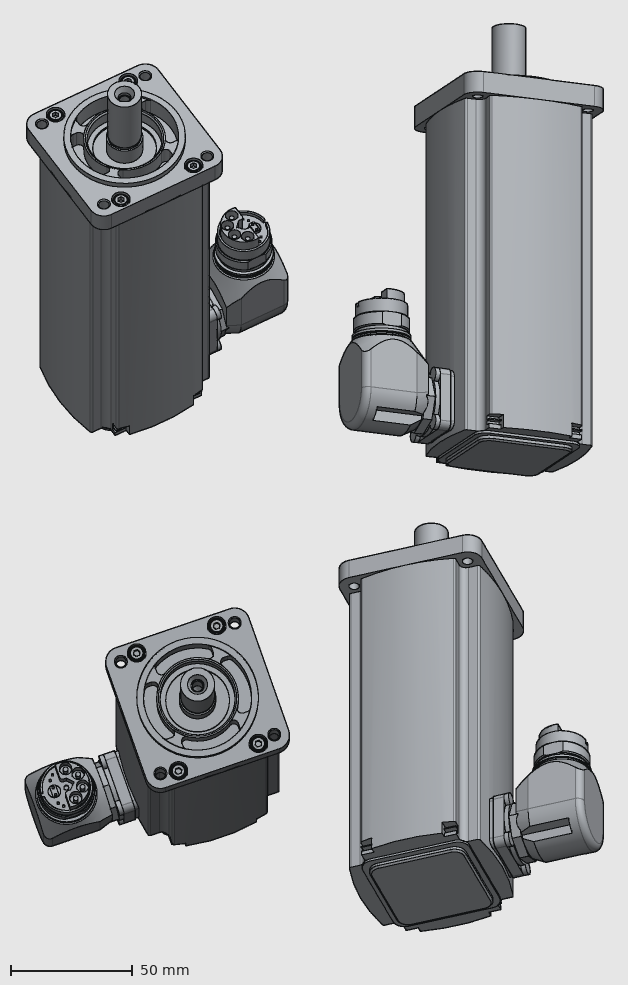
import cadquery as cq
import math


flange_width = 62.0
half_width = flange_width / 2
flange_thickness = 9.0
flange_corner_radius = 6.2
mounting_circle_diameter = 70.0
mounting_hole_diameter = 4.3
mounting_hole_rim_diameter = 5.3
pilot_diameter = 50.0
pilot_height = 2.5

recess_diameter = 44.4
recess_floor_z = 1.5
hub_outer_diameter = 33.6
hub_bore_diameter = 30.8
hub_top_z = 1.0
hub_edge_chamfer = 0.7
bore_step_z = -5.0
bore_floor_diameter = 26.2
bore_floor_z = -6.0
pocket_floor_z = -6.5
pocket_half_length = 12.3
pocket_corner_radius = 2.0

screw_x = 26.1
screw_y = 17.4
counterbore_diameter = 7.6
counterbore_depth = 4.0
screw_head_diameter = 6.6
screw_head_height = 3.6
screw_crown_diameter = 5.1
screw_crown_height = 0.2
screw_head_chamfer = 0.4
screw_socket_width = 2.5
screw_socket_depth = 2.0

shaft_diameter = 14.0
shaft_length = 30.0
collar_diameter = 15.0
collar_top_z = 2.0
shaft_neck_diameter = 13.6
shaft_neck_width = 1.2
center_chamfer_diameter = 8.2
center_chamfer_angle = 60.0
center_bore_diameter = 5.3
center_bore_depth = 4.0
center_drill_diameter = 4.3
center_drill_depth = 14.0

housing_bottom_z = -151.3
side_bulge = 2.6
side_half_chord = 20.7
side_edge_radius = 1.0
corner_fillet_radius = 3.0

cover_skirt_half_width = 23.3
cover_skirt_top_z = -149.4
cover_step_half_width = cover_skirt_half_width
cover_step_bottom_z = -152.4
cover_half_width = 20.9
cover_bottom_z = -154.5
cover_corner_radius = 5.0
cover_skirt_corner_radius = 6.0
cover_rim_chamfer = 0.8

window_inner_x = 25.0
window_inner_y = 15.4
window_top_z = -145.7
window_bottom_z = cover_skirt_top_z
window_bar_thickness = 0.5
window_bar_outer_x = 27.5
window_relief_x = 27.0

base_center_z = -136.1
base_width = 26.4
base_start_y = 29.0
base_end_y = 36.5
base_corner_radius = 3.2
base_gasket_y = 31.7
base_gasket_margin = 0.4
base_disc_diameter = 26.2
base_screw_head_diameter = 6.2
base_screw_head_end_y = 38.5
neck_sides = 8
neck_width = 23.5
neck_end_y = 42.5

elbow_width = 28.4
elbow_half_width = elbow_width / 2
elbow_outer_y = 71.0
elbow_inner_y = 41.4
elbow_top_z = -112.0
elbow_round_z = -135.9
elbow_end_radius = 3.0
elbow_top_stock = 5.0
elbow_taper_y = 47.4
elbow_taper_side = 1.8
elbow_taper_lift = 1.4
elbow_crown_top_radius = 12.7
elbow_crown_slope = 1.47
elbow_crown_height = 20.0
grip_top_z = -143.4
grip_bottom_z = -148.0
grip_start_y = 64.2
grip_inner_x = math.sqrt(elbow_half_width**2 - (elbow_round_z - grip_bottom_z) ** 2)

barrel_y = 57.1
barrel_top_z = -95.8
barrel_diameter = 21.55
barrel_bore_diameter = 19.8
barrel_key_width = 1.6
nut_diameter = 23.2
nut_flat_distance = 21.55
nut_top_z = -101.4
nut_bottom_z = -107.4
nut_chamfer = 0.5
barrel_flange_diameter = 24.3
barrel_flange_top_z = -109.1
barrel_flange_groove_z = -110.2
barrel_flange_groove_diameter = 22.9

insert_floor_z = -97.5
insert_diameter = 19.0
insert_radius = insert_diameter / 2
power_block_top_z = -91.2
power_block_edge = 1.6
power_sockets = [(6.4, -1.9), (2.8, -6.1)]
power_socket_diameter = 5.1
power_pin_diameter = 1.99
power_pin_recess = 1.5
notch_side_x = 2.6
notch_lip = 1.2
notch_mouth_x = notch_side_x + notch_lip
notch_shoulder_y = -0.9
notch_tip_y = -3.4
ground_hole_diameter = 1.99
signal_y = 5.2
signal_diameter = 5.2
signal_height = 1.2
signal_band_width = 2.6
signal_shelf_height = 0.6
signal_contact_x = 1.6
signal_contact_diameter = 0.99
side_contacts = [(5.0, 5.3), (6.9, 3.6)]
contact_depth = 1.5

OVERLAP = 0.5


def cylinder(diameter, bottom_z, top_z, x=0.0, y=0.0):
    """Upright cylinder between two heights."""
    start = cq.Workplane("XY", origin=(x, y, bottom_z))
    return start.circle(diameter / 2).extrude(top_z - bottom_z)


def square_prism(half, bottom_z, top_z):
    """Square block centred on the shaft axis."""
    return cq.Workplane("XY", origin=(0, 0, bottom_z)).rect(2 * half, 2 * half).extrude(top_z - bottom_z)


def box_between(x_range, y_range, z_range):
    """Box given by its limits along each axis."""
    size = [high - low for low, high in (x_range, y_range, z_range)]
    corner = (x_range[0], y_range[0], z_range[0])
    return cq.Workplane("XY").box(*size, centered=False).translate(corner)


def along_y(start_y, z=base_center_z):
    """Workplane facing +Y; its local x axis points along -X."""
    return cq.Workplane("XZ", origin=(0, start_y, z)).transformed(rotate=(0, 180, 0))


def mirrored_points(x, y):
    """The four points of a rectangle centred on the origin."""
    return [(sx * x, sy * y) for sx in (-1, 1) for sy in (-1, 1)]


def make_housing():
    """Four bulged sides joined by filleted inside corners."""
    height = -flange_thickness - housing_bottom_z
    edge = half_width - side_bulge
    start = cq.Workplane("XY", origin=(0, 0, housing_bottom_z))
    housing = start.rect(2 * side_half_chord, 2 * side_half_chord).extrude(height)
    for turn in range(4):
        side = (
            start.moveTo(0, -side_half_chord)
            .lineTo(edge, -side_half_chord)
            .threePointArc((half_width, 0), (edge, side_half_chord))
            .lineTo(0, side_half_chord)
            .close()
            .extrude(height)
            .edges("|Z")
            .edges(">X")
            .fillet(side_edge_radius)
        )
        housing = housing.union(side.rotate((0, 0, 0), (0, 0, 1), 90 * turn))
    fillet_center = side_half_chord + corner_fillet_radius
    filler = (
        start.moveTo(side_half_chord, side_half_chord)
        .lineTo(fillet_center, side_half_chord)
        .radiusArc((side_half_chord, fillet_center), corner_fillet_radius)
        .close()
        .extrude(height)
    )
    for turn in range(4):
        housing = housing.union(filler.rotate((0, 0, 0), (0, 0, 1), 90 * turn))
    return housing


def make_rear_cover():
    """Plate closing the rear of the housing: skirt, step and raised centre."""
    skirt = square_prism(cover_skirt_half_width, housing_bottom_z, cover_skirt_top_z)
    skirt = skirt.edges("|Z").fillet(cover_skirt_corner_radius)
    step = square_prism(cover_step_half_width, cover_step_bottom_z, housing_bottom_z)
    plate = square_prism(cover_half_width, cover_bottom_z, cover_step_bottom_z)
    plate = plate.edges("|Z").fillet(cover_corner_radius).faces("<Z").edges().chamfer(cover_rim_chamfer)
    return skirt.union(step.edges("|Z").fillet(cover_corner_radius)).union(plate)


def cut_latch_windows(body):
    """Barred windows near the rear of both X sides, with the side cut back below them."""
    y_range = (window_inner_y, side_half_chord)
    window = box_between((window_inner_x, half_width), y_range, (window_bottom_z, window_top_z))
    middle_z = (window_bottom_z + window_top_z) / 2
    half_bar = window_bar_thickness / 2
    bar_z_range = (middle_z - half_bar, middle_z + half_bar)
    bar = box_between((window_inner_x, window_bar_outer_x), y_range, bar_z_range)
    relief = box_between((window_relief_x, half_width), y_range, (housing_bottom_z, window_bottom_z))
    opening = window.cut(bar).union(relief)
    for x_side in (opening, opening.mirror("YZ")):
        body = body.cut(x_side).cut(x_side.mirror("XZ"))
    return body


def make_flange():
    """Square flange with its pilot, pilot recess, bearing bore and bolt holes."""
    flange = square_prism(half_width, -flange_thickness, 0).edges("|Z").fillet(flange_corner_radius)
    flange = flange.union(cylinder(pilot_diameter, -OVERLAP, pilot_height))
    flange = flange.cut(cylinder(recess_diameter, recess_floor_z, pilot_height))
    flange = flange.cut(cylinder(hub_outer_diameter, hub_top_z, pilot_height))
    flange = flange.cut(cylinder(hub_bore_diameter, bore_step_z, pilot_height))
    hub_lead_in = cq.Solid.makeCone(
        hub_bore_diameter / 2,
        hub_bore_diameter / 2 + hub_edge_chamfer,
        hub_edge_chamfer,
        cq.Vector(0, 0, hub_top_z - hub_edge_chamfer),
    )
    flange = flange.cut(cq.Workplane(hub_lead_in))
    flange = flange.cut(cylinder(bore_floor_diameter, bore_floor_z, pilot_height))

    annulus = cylinder(recess_diameter, pocket_floor_z, pilot_height)
    annulus = annulus.cut(cylinder(hub_outer_diameter, pocket_floor_z, pilot_height))
    for turn in range(4):
        sector = box_between(
            (-half_width, 0),
            (-pocket_half_length, pocket_half_length),
            (pocket_floor_z, pilot_height),
        )
        pocket = annulus.intersect(sector).edges("|Z").fillet(pocket_corner_radius)
        flange = flange.cut(pocket.rotate((0, 0, 0), (0, 0, 1), 90 * turn))

    hole_offset = mounting_circle_diameter / 2 * math.sqrt(0.5)
    rim_depth = (mounting_hole_rim_diameter - mounting_hole_diameter) / 2
    for x, y in mirrored_points(hole_offset, hole_offset):
        flange = flange.cut(cylinder(mounting_hole_diameter, -flange_thickness, 0, x, y))
        rim = cq.Solid.makeCone(
            mounting_hole_diameter / 2,
            mounting_hole_rim_diameter / 2,
            rim_depth,
            cq.Vector(x, y, -rim_depth),
        )
        flange = flange.cut(cq.Workplane(rim))
    return flange


def add_flange_screws(body):
    """Socket screws sunk in counterbores beside the mounting holes."""
    seat_z = -counterbore_depth
    head_top_z = seat_z + screw_head_height
    crown_top_z = head_top_z + screw_crown_height
    for x, y in mirrored_points(screw_x, screw_y):
        body = body.cut(cylinder(counterbore_diameter, seat_z, 0, x, y))
        head = cylinder(screw_head_diameter, seat_z - OVERLAP, head_top_z, x, y)
        head = head.faces(">Z").edges().chamfer(screw_head_chamfer)
        head = head.union(cylinder(screw_crown_diameter, head_top_z - OVERLAP, crown_top_z, x, y))
        socket = (
            cq.Workplane("XY", origin=(x, y, crown_top_z))
            .polygon(6, screw_socket_width, circumscribed=True)
            .extrude(-screw_socket_depth)
        )
        body = body.union(head.cut(socket))
    return body


def make_shaft():
    """Shaft with a collar, a relief neck above it and a stepped centre hole."""
    shaft = cylinder(collar_diameter, bore_floor_z - OVERLAP, collar_top_z)
    neck_top_z = collar_top_z + shaft_neck_width
    shaft = shaft.union(cylinder(shaft_neck_diameter, collar_top_z - OVERLAP, neck_top_z))
    shaft = shaft.union(cylinder(shaft_diameter, neck_top_z, shaft_length))

    bore_radius = center_bore_diameter / 2
    drill_radius = center_drill_diameter / 2
    chamfer_radius = center_chamfer_diameter / 2
    chamfer_depth = (chamfer_radius - bore_radius) / math.tan(math.radians(center_chamfer_angle / 2))
    drill_end_z = shaft_length - center_drill_depth
    center_hole = (
        cq.Workplane("XZ")
        .moveTo(0, shaft_length)
        .lineTo(chamfer_radius, shaft_length)
        .lineTo(bore_radius, shaft_length - chamfer_depth)
        .lineTo(bore_radius, shaft_length - center_bore_depth)
        .lineTo(drill_radius, shaft_length - center_bore_depth)
        .lineTo(drill_radius, drill_end_z)
        .lineTo(0, drill_end_z - drill_radius)
        .close()
        .revolve(360, (0, 0, 0), (0, 1, 0))
    )
    return shaft.cut(center_hole)


def make_connector_base():
    """Square foot with four corner screw heads, a round disc and an octagonal neck."""
    def foot(width, start_y, end_y):
        block = along_y(start_y).rect(width, width).extrude(end_y - start_y)
        return block.edges("|Y").fillet(base_corner_radius)

    base = foot(base_width - 2 * base_gasket_margin, base_start_y, base_gasket_y)
    base = base.union(foot(base_width, base_gasket_y, base_end_y))
    head_height = base_screw_head_end_y - base_end_y
    head_offset = (base_width - base_screw_head_diameter) / 2
    heads = (
        along_y(base_end_y)
        .pushPoints(mirrored_points(head_offset, head_offset))
        .circle(base_screw_head_diameter / 2)
        .extrude(head_height)
    )
    disc = along_y(base_end_y).circle(base_disc_diameter / 2).extrude(head_height)
    neck = (
        along_y(base_end_y)
        .transformed(rotate=(0, 0, 180 / neck_sides))
        .polygon(neck_sides, neck_width, circumscribed=True)
        .extrude(neck_end_y - base_end_y)
    )
    return base.union(disc).union(heads).union(neck)


def elbow_section(sketch, section_half_width, round_z):
    """Straight-sided section with a full round underneath."""
    top_z = elbow_top_z + elbow_top_stock
    return (
        sketch.moveTo(-section_half_width, top_z)
        .lineTo(-section_half_width, round_z)
        .threePointArc((0, round_z - section_half_width), (section_half_width, round_z))
        .lineTo(section_half_width, top_z)
        .close()
    )


def make_elbow():
    """Elbow housing: round underneath, coned on top, tapered toward the neck."""
    bottom_z = elbow_round_z - elbow_half_width
    elbow = elbow_section(along_y(elbow_taper_y, 0), elbow_half_width, elbow_round_z)
    elbow = elbow.extrude(elbow_outer_y - elbow_taper_y)
    elbow = elbow.faces(">Y").edges().fillet(elbow_end_radius)
    taper_half_width = elbow_half_width - elbow_taper_side
    taper = elbow_section(along_y(elbow_inner_y, 0), taper_half_width, elbow_round_z + elbow_taper_lift)
    taper = elbow_section(
        taper.workplane(offset=elbow_taper_y - elbow_inner_y), elbow_half_width, elbow_round_z
    ).loft(ruled=True)
    crown_bottom_radius = elbow_crown_top_radius + elbow_crown_height / elbow_crown_slope
    crown = (
        cq.Workplane("XZ", origin=(0, barrel_y, 0))
        .moveTo(0, elbow_top_z)
        .lineTo(elbow_crown_top_radius, elbow_top_z)
        .lineTo(crown_bottom_radius, elbow_top_z - elbow_crown_height)
        .lineTo(crown_bottom_radius, bottom_z)
        .lineTo(0, bottom_z)
        .close()
        .revolve(360, (0, 0, 0), (0, 1, 0))
    )
    elbow = elbow.union(taper).intersect(crown)
    for x_range in ((-elbow_half_width, -grip_inner_x), (grip_inner_x, elbow_half_width)):
        elbow = elbow.cut(box_between(x_range, (elbow_inner_y, grip_start_y), (grip_bottom_z, grip_top_z)))
    return elbow


def make_barrel():
    """Round mating barrel with its flange, flatted nut and open socket."""
    groove_height = barrel_flange_top_z - barrel_flange_groove_z
    barrel = cylinder(barrel_diameter, elbow_top_z - OVERLAP, barrel_top_z, y=barrel_y)
    flange = cylinder(barrel_flange_diameter, elbow_top_z + OVERLAP, barrel_flange_top_z, y=barrel_y)
    groove_low_z = barrel_flange_groove_z - groove_height / 2
    groove = cylinder(barrel_flange_diameter, groove_low_z, barrel_flange_groove_z, y=barrel_y)
    groove = groove.cut(
        cylinder(barrel_flange_groove_diameter, groove_low_z, barrel_flange_groove_z, y=barrel_y))
    nut = cylinder(nut_diameter, nut_bottom_z, nut_top_z, y=barrel_y).edges().chamfer(nut_chamfer)
    half_flat = nut_flat_distance / 2
    nut = nut.intersect(box_between(
        (-half_flat, half_flat),
        (barrel_y - nut_diameter, barrel_y + nut_diameter),
        (nut_bottom_z, nut_top_z),
    ))
    barrel = barrel.union(flange.cut(groove)).union(nut)
    barrel = barrel.cut(cylinder(barrel_bore_diameter, insert_floor_z, barrel_top_z, y=barrel_y))
    key_slot = box_between(
        (-barrel_key_width / 2, barrel_key_width / 2),
        (barrel_y, barrel_y + barrel_diameter),
        (insert_floor_z, barrel_top_z),
    )
    return barrel.cut(key_slot)


def make_insert():
    """Contact insert: raised power block, signal module and small contacts."""
    floor_z = insert_floor_z - OVERLAP
    insert = cylinder(insert_diameter, floor_z, power_block_top_z)
    insert = insert.intersect(box_between(
        (-insert_radius, insert_radius),
        (-insert_radius, power_block_edge),
        (floor_z, power_block_top_z),
    ))
    notch = (
        cq.Workplane("XY", origin=(0, 0, insert_floor_z))
        .moveTo(-notch_mouth_x, power_block_edge)
        .lineTo(notch_mouth_x, power_block_edge)
        .radiusArc((notch_side_x, power_block_edge - notch_lip), -notch_lip)
        .lineTo(notch_side_x, notch_shoulder_y)
        .lineTo(0, notch_tip_y)
        .lineTo(-notch_side_x, notch_shoulder_y)
        .lineTo(-notch_side_x, power_block_edge - notch_lip)
        .radiusArc((-notch_mouth_x, power_block_edge), -notch_lip)
        .close()
        .extrude(power_block_top_z - insert_floor_z)
    )
    insert = insert.cut(notch)
    for x, y in power_sockets:
        for side in (-1, 1):
            insert = insert.cut(
                cylinder(power_socket_diameter, insert_floor_z, power_block_top_z, side * x, y))
            pin = cylinder(power_pin_diameter, floor_z, power_block_top_z - power_pin_recess, side * x, y)
            insert = insert.union(pin)

    signal_top_z = insert_floor_z + signal_height
    signal_radius = signal_diameter / 2
    signal_band = box_between(
        (-signal_radius, signal_radius),
        (signal_y - signal_band_width / 2, signal_y + signal_band_width / 2),
        (floor_z, signal_top_z),
    )
    signal = cylinder(signal_diameter, floor_z, signal_top_z, y=signal_y).intersect(signal_band)
    signal = signal.union(
        cylinder(signal_diameter, floor_z, insert_floor_z + signal_shelf_height, y=signal_y))
    for side in (-1, 1):
        signal = signal.cut(cylinder(
            signal_contact_diameter, signal_top_z - contact_depth, signal_top_z,
            side * signal_contact_x, signal_y))
    return insert.union(signal).translate((0, barrel_y, 0))


def cut_insert_floor_holes(body):
    """Ground hole and small side contacts in the floor of the barrel."""
    low_z = insert_floor_z - contact_depth
    body = body.cut(cylinder(ground_hole_diameter, low_z, insert_floor_z, 0, barrel_y))
    for x, y in side_contacts:
        for side in (-1, 1):
            body = body.cut(cylinder(
                signal_contact_diameter, low_z, insert_floor_z, side * x, barrel_y + y))
    return body


motor = cut_latch_windows(make_housing()).union(make_rear_cover()).union(make_flange())
motor = add_flange_screws(motor).union(make_shaft())
connector = make_connector_base().union(make_elbow()).union(make_barrel()).union(make_insert())
connector = cut_insert_floor_holes(connector)
result = motor.union(connector)